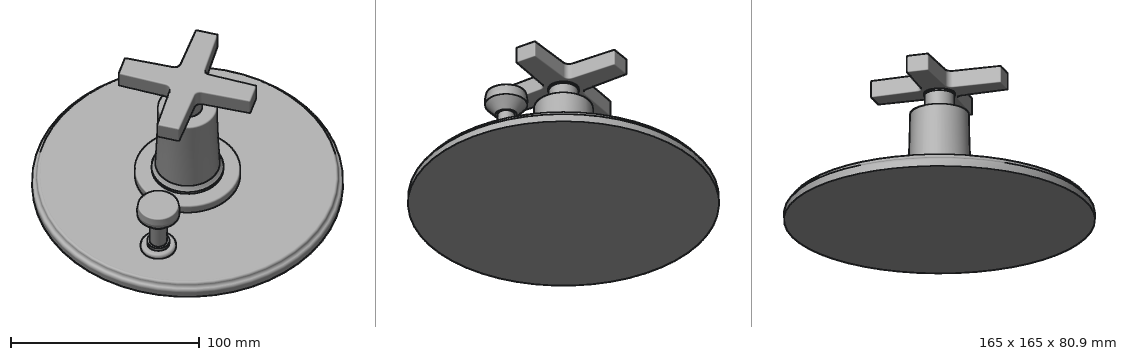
import cadquery as cq
import math

plate_radius = 82.5
plate_height = 8.0
rim_side_height = 3.5
rim_bead_width = 1.0
rim_bead_top = 5.1
rim_step_radius = 80.0
rim_step_height = 7.0
plate_face_radius = 78.3
rim_bead_bulge = -0.25
rim_cove_bulge = 0.3
rim_top_bulge = -0.41

flange_radius = 28.0
flange_top = 12.9
flange_round = 1.0
skirt_foot_radius = 19.2
skirt_foot_top = 14.4
skirt_cove_radius = 18.3
skirt_cove_bottom = 15.4
skirt_bottom_radius = 17.2
skirt_bottom = 17.0
skirt_top_radius = 15.7
skirt_top = 60.1
skirt_hollow = 0.25
skirt_top_round = 0.8

neck_radius = 8.0
collar_radius = 8.3
collar_height = 1.0

handle_top = 80.9
handle_thickness = 9.5
handle_bottom = handle_top - handle_thickness
arm_length = 36.5
arm_tip_width = 12.2
arm_root_width = 14.0
arm_inner_round = 3.3
arm_edge_round = 0.8
arm_bottom_round = 0.5
arm_corner_round = 0.7

knob_offset = 55.0
knob_base_radius = 9.4
knob_base_top_radius = 8.1
knob_base_top = 10.4
knob_base_bulge = -0.7
knob_collar_radius = 6.0
knob_collar_top = 12.4
knob_stem_radius = 4.6
knob_cone_bottom = 26.9
knob_cone_radius = 5.8
knob_head_bottom = 33.0
knob_head_bottom_radius = 11.2
knob_head_middle = 35.5
knob_head_radius = 11.4
knob_top = 39.6
knob_top_radius = 10.7
knob_top_round = 0.7


def cylinder(radius, bottom, top):
    return cq.Workplane("XY").workplane(offset=bottom).circle(radius).extrude(top - bottom)


def revolve_about_z(profile):
    """Close a half profile drawn on XZ (radius, height) and spin it about Z."""
    return profile.close().revolve(360, (0, 0, 0), (0, 1, 0))


def arc_middle(start, end, bulge):
    """Point beside the middle of a chord, to the left of its direction for a positive bulge."""
    dx = end[0] - start[0]
    dz = end[1] - start[1]
    chord = math.hypot(dx, dz)
    return (
        (start[0] + end[0]) / 2 - bulge * dz / chord,
        (start[1] + end[1]) / 2 + bulge * dx / chord,
    )


def make_plate():
    bead_bottom = (plate_radius, rim_side_height)
    bead_top = (plate_radius - rim_bead_width, rim_bead_top)
    cove_top = (rim_step_radius, rim_step_height)
    face_edge = (plate_face_radius, plate_height)
    profile = (
        cq.Workplane("XZ")
        .lineTo(plate_radius, 0)
        .lineTo(*bead_bottom)
        .threePointArc(arc_middle(bead_bottom, bead_top, rim_bead_bulge), bead_top)
        .threePointArc(arc_middle(bead_top, cove_top, rim_cove_bulge), cove_top)
        .threePointArc(arc_middle(cove_top, face_edge, rim_top_bulge), face_edge)
        .lineTo(0, plate_height)
    )
    return revolve_about_z(profile)


def make_skirt():
    bottom = (skirt_bottom_radius, skirt_bottom)
    top = (skirt_top_radius, skirt_top)
    profile = (
        cq.Workplane("XZ")
        .lineTo(skirt_foot_radius, 0)
        .lineTo(skirt_foot_radius, skirt_foot_top)
        .lineTo(skirt_cove_radius, skirt_cove_bottom)
        .lineTo(*bottom)
        .threePointArc(arc_middle(bottom, top, skirt_hollow), top)
        .lineTo(0, skirt_top)
    )
    skirt = revolve_about_z(profile).faces(">Z").edges().fillet(skirt_top_round)
    flange = cylinder(flange_radius, 0, flange_top).faces(">Z").edges().fillet(flange_round)
    return flange.union(skirt)


def make_neck():
    neck = cylinder(neck_radius, skirt_top, handle_bottom)
    return neck.union(cylinder(collar_radius, handle_bottom - collar_height, handle_bottom))


def make_handle():
    half_tip = arm_tip_width / 2
    half_root = arm_root_width / 2
    arm = (
        cq.Workplane("XY")
        .workplane(offset=handle_bottom)
        .moveTo(0, -half_root)
        .lineTo(half_root, -half_root)
        .lineTo(arm_length, -half_tip)
        .lineTo(arm_length, half_tip)
        .lineTo(half_root, half_root)
        .lineTo(0, half_root)
        .close()
        .extrude(handle_thickness)
    )
    cross = arm
    for angle in (90, 180, 270):
        cross = cross.union(arm.rotate((0, 0, 0), (0, 0, 1), angle))
    inner = cq.selectors.BoxSelector(
        (-arm_root_width, -arm_root_width, handle_bottom),
        (arm_root_width, arm_root_width, handle_top),
    )
    cross = cross.edges("|Z").edges(inner).fillet(arm_inner_round)
    cross = cross.faces("<X or >X or <Y or >Y").edges("|Z").fillet(arm_corner_round)
    cross = cross.faces(">Z").edges().fillet(arm_edge_round)
    return cross.faces("<Z").edges().fillet(arm_bottom_round)


def make_knob():
    base_bottom = (knob_base_radius, plate_height)
    base_top = (knob_base_top_radius, knob_base_top)
    profile = (
        cq.Workplane("XZ")
        .lineTo(knob_base_radius, 0)
        .lineTo(*base_bottom)
        .threePointArc(arc_middle(base_bottom, base_top, knob_base_bulge), base_top)
        .lineTo(knob_collar_radius, knob_base_top)
        .lineTo(knob_collar_radius, knob_collar_top)
        .lineTo(knob_stem_radius, knob_collar_top)
        .lineTo(knob_stem_radius, knob_cone_bottom)
        .lineTo(knob_cone_radius, knob_cone_bottom)
        .lineTo(knob_head_bottom_radius, knob_head_bottom)
        .lineTo(knob_head_radius, knob_head_middle)
        .lineTo(knob_top_radius, knob_top)
        .lineTo(0, knob_top)
    )
    knob = revolve_about_z(profile).faces(">Z").edges().fillet(knob_top_round)
    return knob.translate((0, -knob_offset, 0))


result = make_plate().union(make_skirt()).union(make_neck()).union(make_handle()).union(make_knob())